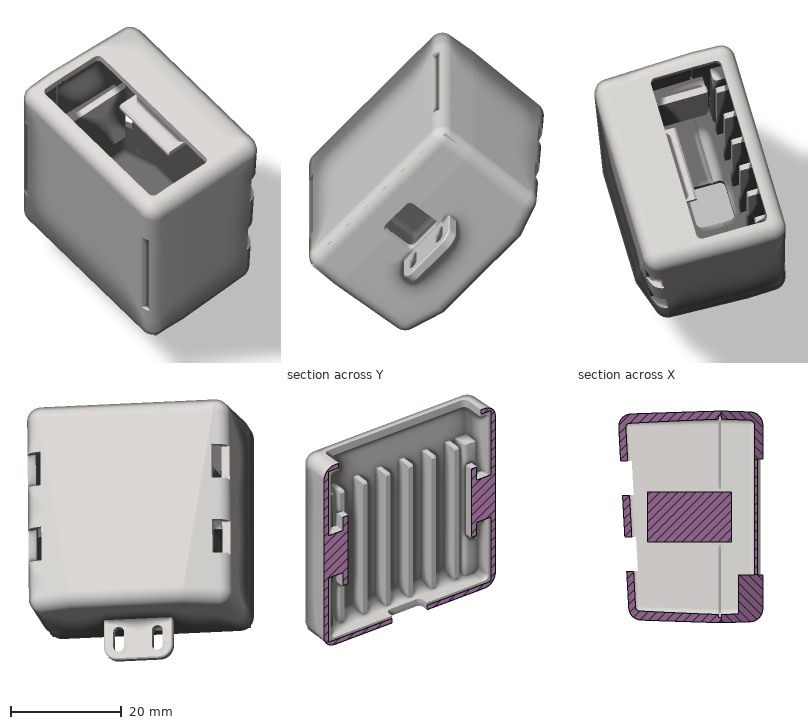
import cadquery as cq
case_width = 38.1
case_height = 38.45
case_depth = 26.5
total_height = 45.65
split_y = 7.63
draft = 1.5
edge_radius = 2.5
wall = 1.5
back_wall = 1.2
case_bottom = total_height - case_height
case_middle = case_bottom + case_height / 2
half_width = case_width / 2

crease_x_top = 16.62
crease_x_bottom = 10.2
facet_drop = 2.92

window_half_width = 15.7
window_front = 2.92
window_back = 16.2
window_radius = 1.0
floor_hole_width = 7.65
floor_hole_front = 5.65
floor_hole_back = 12.8
floor_hole_radius = 1.0

slot_inner_x = 15.75
slot_front_top = 24.3
slot_front_bottom = 22.15
slot_height = 6.15
slot_bottoms = (16.6, 30.35)

tab_width = 12.65
tab_thickness = 1.9
tab_front = 12.92
tab_radius = 2.5
tab_bevel = 0.25
tab_slot_width = 2.0
tab_slot_length = 4.55
tab_slot_spacing = 7.12
tab_slot_middle = 3.75

shelf_width = 13.98
shelf_front = 13.85
shelf_top = 41.0
shelf_thickness = 1.0
shelf_bevel = 0.4

arm_height = 20.9
arm_tip_x = 16.85
groove_cover_x = 16.3
groove_crest_x = 17.3
groove_outer_x = 17.9
groove_depth = 1.0
nose_y = 0.8
nose_end_y = 0.5

guide_inner_x = 13.6
guide_outer_x = 14.9
guide_height = 14.7
guide_front = 5.75
guide_back = 21.0
guide_bevel = 0.3
web_outer_x = 18.25
web_height = 9.15

rebate_depth = 0.45

rib_count = 6
rib_spacing = 5.05
rib_width = 1.0
rib_back = 4.5
rib_bevel = 0.3
post_inner_x = 14.45
post_radius = 0.75

margin = 4.55


def block(x_min, x_max, y_min, y_max, z_min, z_max):
    size = (x_max - x_min, y_max - y_min, z_max - z_min)
    return cq.Workplane().box(*size, centered=False).translate((x_min, y_min, z_min))


def drafted_block(depth, direction, inset):
    """Rectangle on the parting face, extruded along +Y or -Y with draft."""
    plane = cq.Plane((0, split_y, case_middle), (1, 0, 0), (0, direction, 0))
    section = cq.Workplane(plane).rect(case_width - 2 * inset, case_height - 2 * inset)
    return section.extrude(depth, taper=draft)


def cover_form(inset, radius):
    form = drafted_block(split_y - inset, -1, inset)
    return form.edges("not >Y").fillet(radius)


def facet_tool(back):
    """Everything behind the +X facet of a form whose flat back lies at Y = back."""
    crease_top = cq.Vector(crease_x_top, back, total_height)
    crease_bottom = cq.Vector(crease_x_bottom, back, case_bottom)
    corner = cq.Vector(half_width, back - facet_drop, case_bottom)
    along = crease_top - crease_bottom
    normal = along.cross(corner - crease_bottom)
    plane = cq.Plane(crease_bottom, along, normal)
    return cq.Workplane(plane).rect(4 * case_height, 4 * case_height).extrude(margin)


def housing_form(side_inset, back_inset, radius):
    back = case_depth - back_inset
    form = drafted_block(back - split_y, 1, side_inset)
    tool = facet_tool(back)
    form = form.cut(tool).cut(tool.mirror("YZ"))
    crease_zone = cq.selectors.BoxSelector(
        (-half_width + margin, case_depth / 2, case_middle - margin),
        (half_width - margin, case_depth + margin, case_middle + margin),
    )
    outer_edges = cq.selectors.SubtractSelector(cq.StringSyntaxSelector("not <Y"), crease_zone)
    return form.edges(outer_edges).fillet(radius)


def window_tool():
    tool = block(
        -window_half_width, window_half_width, window_front, window_back,
        total_height - 2 * wall, total_height + margin,
    )
    return tool.edges("|Z").fillet(window_radius)


def floor_hole_tool():
    tool = block(
        -floor_hole_width / 2, floor_hole_width / 2, floor_hole_front, floor_hole_back,
        case_bottom - wall, case_bottom + 2 * wall,
    )
    return tool.edges("|Z").fillet(floor_hole_radius)


def corner_slot(bottom):
    """Slot tool outside slot_inner_x on the +X side."""
    slope = (slot_front_top - slot_front_bottom) / case_height
    top = bottom + slot_height
    outline = [
        (slot_front_bottom + slope * (bottom - case_bottom), bottom),
        (case_depth + margin, bottom),
        (case_depth + margin, top),
        (slot_front_bottom + slope * (top - case_bottom), top),
    ]
    return cq.Workplane("YZ").workplane(offset=slot_inner_x).polyline(outline).close().extrude(margin)


def side_profile(points_done):
    """Extrude an XY outline over the arm height."""
    return points_done.close().extrude(arm_height).translate((0, 0, case_middle - arm_height / 2))


def cover_notch():
    """Arm notch with the bevelled cover side of the pry groove."""
    outline = (
        cq.Workplane()
        .moveTo(groove_cover_x, 0)
        .lineTo(arm_tip_x, groove_depth)
        .lineTo(arm_tip_x, split_y)
        .lineTo(half_width + margin, split_y)
        .lineTo(half_width + margin, 0)
    )
    return side_profile(outline)


def housing_arm():
    """Continuation of the housing side wall, with a bevelled nose at the pry groove."""
    outline = (
        cq.Workplane()
        .moveTo(arm_tip_x, groove_depth)
        .lineTo(groove_crest_x, nose_y)
        .lineTo(groove_outer_x, nose_end_y)
        .lineTo(groove_outer_x, 0)
        .lineTo(half_width + margin, 0)
        .lineTo(half_width + margin, split_y)
        .lineTo(arm_tip_x, split_y)
    )
    skin = cover_form(0, edge_radius).cut(cover_form(wall, edge_radius - wall))
    return side_profile(outline).intersect(skin)


def side_guide():
    plate = block(
        guide_inner_x, guide_outer_x, guide_front, guide_back,
        case_middle - guide_height / 2, case_middle + guide_height / 2,
    )
    plate = plate.edges("(<X and |Z) or (<Y and |X)").chamfer(guide_bevel)
    web = block(
        guide_outer_x, web_outer_x, guide_front, guide_back,
        case_middle - web_height / 2, case_middle + web_height / 2,
    )
    return plate.union(web)


def mounting_tab():
    tab = block(
        -tab_width / 2, tab_width / 2, tab_front, tab_front + tab_thickness, 0, case_bottom + wall / 2
    )
    tab = tab.edges("<Z and |Y").fillet(tab_radius)
    tab = tab.faces("<Y or >Y").edges("not >Z").chamfer(tab_bevel)
    slots = (
        cq.Workplane("XZ")
        .center(0, tab_slot_middle)
        .rarray(tab_slot_spacing, 0.45, 2, 1)
        .slot2D(tab_slot_length, tab_slot_width, 90)
        .extrude(-case_depth)
    )
    return tab.cut(slots)


def shelf():
    plate = block(
        -shelf_width / 2, shelf_width / 2, shelf_front, case_depth - back_wall / 2,
        shelf_top - shelf_thickness, shelf_top,
    )
    return plate.edges("<Y and >Z").chamfer(shelf_bevel)


def make_housing():
    body = housing_form(0, 0, edge_radius).cut(housing_form(wall, back_wall, edge_radius - wall))
    rebate = drafted_block(rebate_depth, 1, wall - rebate_depth)
    body = body.cut(rebate).cut(window_tool()).cut(floor_hole_tool())
    for bottom in slot_bottoms:
        tool = corner_slot(bottom)
        body = body.cut(tool).cut(tool.mirror("YZ"))
    for side_part in (housing_arm(), side_guide()):
        body = body.union(side_part).union(side_part.mirror("YZ"))
    return body.union(mounting_tab()).union(shelf())


def make_cover():
    body = cover_form(0, edge_radius).cut(cover_form(wall, edge_radius - wall))
    low = case_bottom + wall / 2
    high = case_middle + arm_height / 2
    for index in range(rib_count):
        rib_x = (index - (rib_count - 1) / 2) * rib_spacing
        rib = block(rib_x - rib_width / 2, rib_x + rib_width / 2, wall / 2, rib_back, low, high)
        body = body.union(rib.edges(">Y and >Z").chamfer(rib_bevel))
    post = block(post_inner_x, web_outer_x, wall, rib_back, low, high)
    post = post.edges("<X and >Y").fillet(post_radius)
    notch = cover_notch()
    for tool in (post, post.mirror("YZ")):
        body = body.union(tool)
    for tool in (notch, notch.mirror("YZ"), window_tool(), floor_hole_tool()):
        body = body.cut(tool)
    return body


housing = make_housing()
cover = make_cover()
result = cq.Compound.makeCompound([housing.val(), cover.val()])